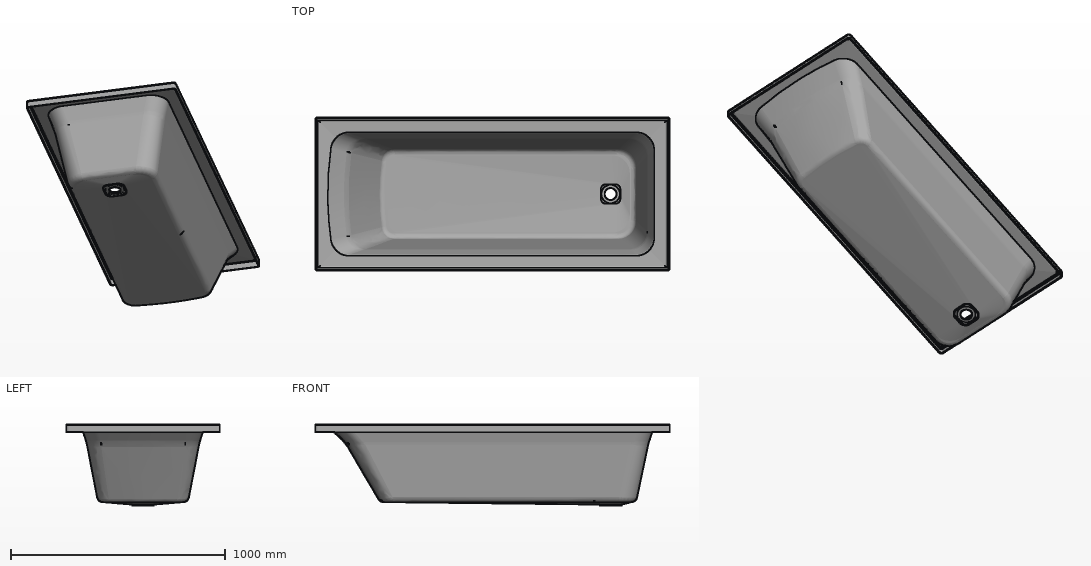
import cadquery as cq

WALL = 5.0

LENGTH = 1650.0
WIDTH = 715.0
RIM_HEIGHT = 36.0
RIM_CORNER_RADIUS = 13.0
RIM_EDGE_RADIUS = 7.0

BORDER_WIDTH = 13.0
BEVEL_WIDTH = 10.0
BEVEL_DROP = 3.0
DECK_FALL_RUN = 165.0
DECK_FALL_DROP = 8.0
LIP_RADIUS = 10.0

BASIN_TOP = (-777.0, 755.0, 290.0, 0.0)
BASIN_CREASE = (-683.0, 726.0, 262.0, 89.0)
BASIN_FOOT = (-523.0, 668.0, 210.0, 363.0)
LEFT_RADIUS_RATIO = 0.29
BOW_RATIO = 0.09
RIGHT_RADIUS = 82.0
CREASE_RADIUS = 132.0
FOOT_RADIUS = 30.0

DRAIN_X = 550.0
SEAT_SIZE = 102.0
SEAT_CORNER_RADIUS = 31.0
SEAT_UNDERSIDE_DEPTH = 380.0
SEAT_RECESS = 5.0
FLOOR_MARGIN = 25.0
RING_DIAMETER = 85.0
RING_THICKNESS = 3.0
DRAIN_HOLE_DIAMETER = 55.0

SEAT_DEPTH = SEAT_UNDERSIDE_DEPTH - WALL
FLOOR_LOW_DEPTH = SEAT_DEPTH - SEAT_RECESS
TOLERANCE = 0.002


def inset(level, inward, upward=0.0):
    """Basin level with its outline moved inward and its depth reduced."""
    left, right, half_width, depth = level
    return (left + inward, right - inward, half_width - inward, depth - upward)


def corners_at(wire, x):
    return [v for v in wire.Vertices() if abs(v.X - x) < TOLERANCE]


def basin_outline(level):
    """Closed wire with four rounded corners and an outward-bowed left end."""
    left, right, half_width, depth = level
    left_corner_x = left + BOW_RATIO * half_width
    sharp = (
        cq.Workplane("XY", origin=(0, 0, -depth))
        .moveTo(left_corner_x, -half_width)
        .lineTo(right, -half_width)
        .lineTo(right, half_width)
        .lineTo(left_corner_x, half_width)
        .threePointArc((left, 0), (left_corner_x, -half_width))
        .close()
        .val()
    )
    left_rounded = sharp.fillet2D(LEFT_RADIUS_RATIO * half_width, corners_at(sharp, left_corner_x))
    return left_rounded.fillet2D(RIGHT_RADIUS, corners_at(left_rounded, right))


def level_edges(solid, depth):
    """All edges that lie flat at the given depth."""
    return [
        edge for edge in solid.Edges()
        if edge.BoundingBox().zlen < TOLERANCE and abs(edge.Center().z + depth) < TOLERANCE
    ]


def rounded_block(length, width, corner_radius, top_depth, bottom_depth, center_x=0.0):
    return (
        cq.Workplane("XY", origin=(center_x, 0, -bottom_depth))
        .rect(length, width)
        .extrude(bottom_depth - top_depth)
        .edges("|Z").fillet(corner_radius)
    )


def seat_block(size, corner_radius, top_depth, bottom_depth):
    return rounded_block(size, size, corner_radius, top_depth, bottom_depth, DRAIN_X)


def floor_fall(foot, low_depth):
    """Shallow funnel from the flat strip of the floor down to the drain seat."""
    upper = basin_outline(inset(foot, FLOOR_MARGIN))
    column = seat_block(SEAT_SIZE, SEAT_CORNER_RADIUS, 0, low_depth)
    lower = column.faces("<Z").wires().val()
    return cq.Solid.makeLoft([upper, lower], True)


def basin_form(wall):
    """Solid that fills the basin, set in from the outer skin by the given wall."""
    crease = inset(BASIN_CREASE, wall)
    foot = inset(BASIN_FOOT, wall, wall)
    levels = [inset(BASIN_TOP, wall), crease, foot]
    form = cq.Solid.makeLoft([basin_outline(level) for level in levels], True)
    form = form.fillet(FOOT_RADIUS - wall, level_edges(form, foot[-1]))
    form = form.fillet(CREASE_RADIUS, level_edges(form, crease[-1]))
    return cq.Workplane(form).union(floor_fall(foot, FLOOR_LOW_DEPTH + WALL - wall))


def deck_rectangle(margin, depth):
    return (
        cq.Workplane("XY", origin=(0, 0, -depth))
        .rect(LENGTH - 2 * margin, WIDTH - 2 * margin)
        .wires().val()
    )


def deck_dish(top_depth):
    """Solid whose sloping sides follow the bevel and the fall of the deck."""
    bevel_margin = BORDER_WIDTH + BEVEL_WIDTH
    bevel_depth = top_depth + BEVEL_DROP
    rectangles = [
        deck_rectangle(BORDER_WIDTH, top_depth),
        deck_rectangle(bevel_margin, bevel_depth),
        deck_rectangle(bevel_margin + DECK_FALL_RUN, bevel_depth + DECK_FALL_DROP),
    ]
    return cq.Workplane(cq.Solid.makeLoft(rectangles, True))


def rim_block():
    block = rounded_block(LENGTH, WIDTH, RIM_CORNER_RADIUS, 0, RIM_HEIGHT)
    return block.faces(">Z").edges().fillet(RIM_EDGE_RADIUS)


def rim_hollow(basin_outside):
    """Space under the deck, between the basin and the turned-down lip of the rim."""
    block = rounded_block(
        LENGTH - 2 * WALL, WIDTH - 2 * WALL, RIM_CORNER_RADIUS - WALL, WALL, RIM_HEIGHT
    )
    return block.cut(deck_dish(WALL)).cut(basin_outside)


def round_basin_lip(tub):
    """Round the opening of the basin, whose edges all lie within the fall of the deck."""
    left, right, half_width, _ = inset(BASIN_TOP, WALL)
    lowest_deck = BEVEL_DROP + DECK_FALL_DROP
    opening_zone = cq.selectors.BoxSelector(
        (left, -half_width, -lowest_deck), (right, half_width, -TOLERANCE), boundingbox=True
    )
    return tub.edges(opening_zone).fillet(LIP_RADIUS)


def make_tub():
    basin_outside = basin_form(0.0)
    tub = rim_block().union(basin_outside).cut(deck_dish(0.0)).cut(basin_form(WALL))
    tub = round_basin_lip(tub).cut(rim_hollow(basin_outside))

    seat_pad = seat_block(SEAT_SIZE, SEAT_CORNER_RADIUS, FLOOR_LOW_DEPTH, SEAT_UNDERSIDE_DEPTH)
    seat_recess = seat_block(
        SEAT_SIZE - 2 * WALL, SEAT_CORNER_RADIUS - WALL, FLOOR_LOW_DEPTH - SEAT_RECESS, SEAT_DEPTH
    )
    drain_hole = (
        cq.Workplane("XY", origin=(DRAIN_X, 0, -SEAT_UNDERSIDE_DEPTH))
        .circle(DRAIN_HOLE_DIAMETER / 2)
        .extrude(SEAT_UNDERSIDE_DEPTH - FLOOR_LOW_DEPTH)
    )
    return tub.union(seat_pad).cut(seat_recess).cut(drain_hole)


def make_drain_ring():
    return (
        cq.Workplane("XY", origin=(DRAIN_X, 0, -SEAT_DEPTH))
        .circle(RING_DIAMETER / 2)
        .circle(DRAIN_HOLE_DIAMETER / 2)
        .extrude(RING_THICKNESS)
    )


tub = make_tub()
drain_ring = make_drain_ring()
result = cq.Compound.makeCompound([*tub.solids().vals(), drain_ring.val()])